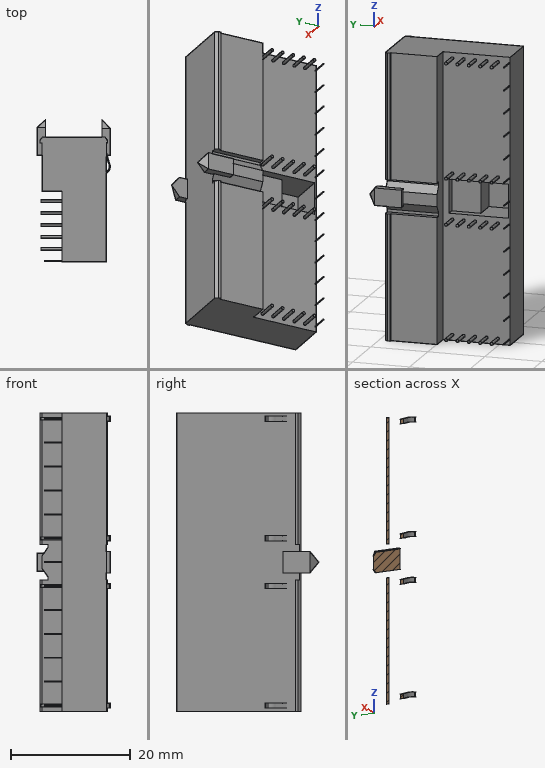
import cadquery as cq

height = 49.9
body_left = -5.3
body_right = 5.45
step_x = -2.0
step_y = 11.8
rear_y = 20.8

rim_half_width = 5.65
rim_start_y = 19.85
rim_chamfer_x = 0.4
rim_chamfer_y = 0.5

notch_half_height = 2.95
notch_floor_x = -4.35
rib_root_half_height = 2.45
rib_crest_half_height = 1.05

clip_inner_x = 4.7
clip_outer_x = 6.115
clip_start_y = 17.75
clip_tip_y = 23.75
left_clip_width = 3.05
left_shoulder_y = 22.45
right_clip_width = 3.65
right_shoulder_y = 22.25

pocket_near_y = 0.3
pocket_step_y = 5.65
pocket_far_y = 10.75
shallow_depth = 1.55
deep_depth = 6.0

embed = 0.5
pin_diameter = 0.5
pin_tip_x = -5.5
pin_first_y = 2.15
pin_pitch = 2.0
pins_per_row = 5
row_heights = (-23.95, -4.0, 4.0, 23.95)
wire_diameter = 0.15
wire_tip_x = -4.9
wire_y = 0.15
wire_pitch = 4.0
wire_count = 13

spring_width = 0.85
spring_thickness = 0.2
spring_root_y = 18.35
spring_end_y = 14.7
crest_start_y = 16.5
crest_middle_y = 15.85
crest_end_y = 15.25
crest_depth = 0.15


def box(x_range, y_range, z_range):
    (x0, x1), (y0, y1), (z0, z1) = x_range, y_range, z_range
    return cq.Workplane("XY").box(x1 - x0, y1 - y0, z1 - z0, centered=False).translate((x0, y0, z0))


def housing():
    outline = [
        (step_x, 0),
        (body_right, 0),
        (body_right, rim_start_y),
        (rim_half_width, rim_start_y),
        (rim_half_width, rear_y - rim_chamfer_y),
        (rim_half_width - rim_chamfer_x, rear_y),
        (rim_chamfer_x - rim_half_width, rear_y),
        (-rim_half_width, rear_y - rim_chamfer_y),
        (-rim_half_width, rim_start_y),
        (body_left, rim_start_y),
        (body_left, step_y),
        (step_x, step_y),
    ]
    return cq.Workplane("XY").polyline(outline).close().extrude(height / 2, both=True)


def notches():
    """Cutters for the ribbed left notch and the gap in the right rim."""
    z_range = (-notch_half_height, notch_half_height)
    left = box((-rim_half_width, notch_floor_x), (step_y, rear_y), z_range)
    rib_section = [
        (notch_floor_x, -rib_root_half_height),
        (body_left, -rib_crest_half_height),
        (body_left, rib_crest_half_height),
        (notch_floor_x, rib_root_half_height),
    ]
    rib = (
        cq.Workplane("XZ", origin=(0, step_y, 0))
        .polyline(rib_section).close().extrude(step_y - rear_y)
    )
    right = box((body_right, rim_half_width), (rim_start_y, rear_y), z_range)
    return left.cut(rib).union(right)


def pocket():
    z_range = (-notch_half_height, notch_half_height)
    shallow = box((step_x, step_x + shallow_depth), (pocket_near_y, pocket_far_y), z_range)
    deep = box((step_x, step_x + deep_depth), (pocket_near_y, pocket_step_y), z_range)
    return shallow.union(deep)


def clip(side, width, shoulder_y):
    """Pointed clip on one side (-1 or +1), bevelled from its outer face to the tip."""
    inner_x = side * clip_inner_x
    outer_x = side * clip_outer_x
    arrow = [
        (clip_start_y, -width / 2),
        (shoulder_y, -width / 2),
        (clip_tip_y, 0),
        (shoulder_y, width / 2),
        (clip_start_y, width / 2),
    ]
    blade = (
        cq.Workplane("YZ", origin=(inner_x, 0, 0))
        .polyline(arrow).close().extrude(outer_x - inner_x)
    )
    bevel = (
        cq.Workplane("XY")
        .polyline([(outer_x, shoulder_y), (outer_x, clip_tip_y), (inner_x, clip_tip_y)])
        .close().extrude(width / 2, both=True)
    )
    return blade.cut(bevel)


def rod(tip_x, y, z, diameter):
    length = step_x + embed - tip_x
    return cq.Workplane("YZ", origin=(tip_x, y, z)).circle(diameter / 2).extrude(length)


def spring(z):
    outer_top_x = clip_outer_x
    outer_bend_x = outer_top_x - crest_depth
    inner_top_x = outer_top_x - spring_thickness
    inner_bend_x = outer_bend_x - spring_thickness
    buried_x = body_right - spring_thickness
    return (
        cq.Workplane("XY", origin=(0, 0, z))
        .moveTo(buried_x, spring_root_y)
        .lineTo(body_right, spring_root_y)
        .lineTo(outer_bend_x, crest_start_y)
        .threePointArc((outer_top_x, crest_middle_y), (outer_bend_x, crest_end_y))
        .lineTo(body_right, spring_end_y)
        .lineTo(buried_x, spring_end_y)
        .lineTo(buried_x, spring_end_y + spring_thickness)
        .lineTo(body_right, spring_end_y + spring_thickness)
        .lineTo(inner_bend_x, crest_end_y + spring_thickness / 2)
        .threePointArc((inner_top_x, crest_middle_y), (inner_bend_x, crest_start_y))
        .close()
        .extrude(spring_width / 2, both=True)
    )


result = housing().cut(notches()).cut(pocket())
result = result.union(clip(-1, left_clip_width, left_shoulder_y))
result = result.union(clip(1, right_clip_width, right_shoulder_y))

for row_z in row_heights:
    result = result.union(spring(row_z))
    for column in range(pins_per_row):
        pin_y = pin_first_y + column * pin_pitch
        result = result.union(rod(pin_tip_x, pin_y, row_z, pin_diameter))

for index in range(wire_count):
    wire_z = (index - (wire_count - 1) / 2) * wire_pitch
    result = result.union(rod(wire_tip_x, wire_y, wire_z, wire_diameter))